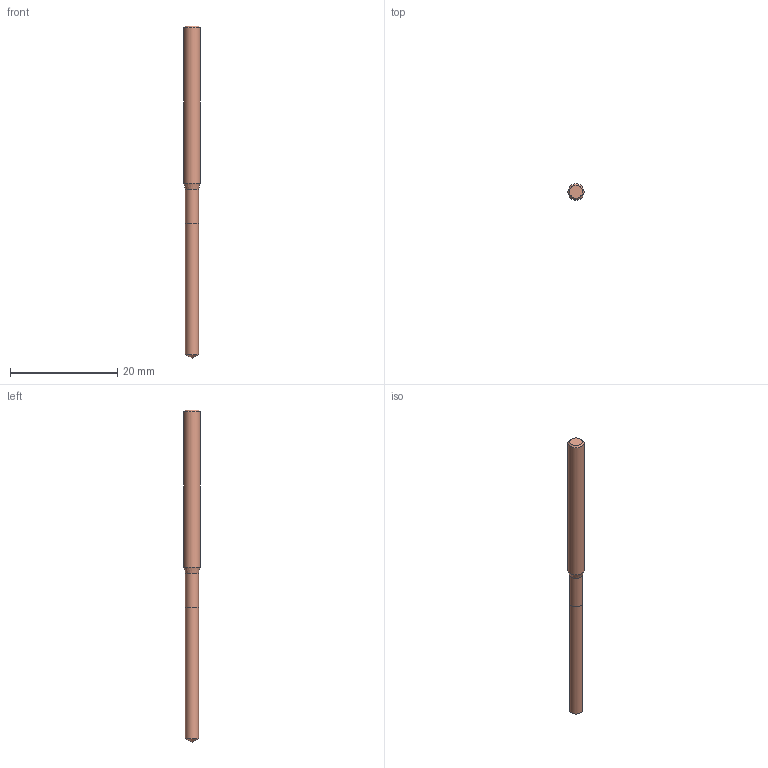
import cadquery as cq
import math

total_length = 62.0
shank_length = 29.4
neck_cone_length = 1.05
cutting_length = 25.1

shank_diameter = 3.0
drill_diameter = 2.43

shank_chamfer = 0.3
point_angle = 130.0

shank_radius = shank_diameter / 2
drill_radius = drill_diameter / 2
point_height = drill_radius / math.tan(math.radians(point_angle / 2))

shank_bottom = total_length - shank_length
cone_bottom = shank_bottom - neck_cone_length


def revolve_about_z(half_profile):
    """Turn a closed half profile in the XZ plane into a round solid."""
    return half_profile.revolve(360, (0, 0, 0), (0, 1, 0))


def make_shank():
    """Chamfered cylindrical shank tapering down to a plain neck."""
    half_profile = (
        cq.Workplane("XZ")
        .moveTo(0, cutting_length)
        .lineTo(drill_radius, cutting_length)
        .lineTo(drill_radius, cone_bottom)
        .lineTo(shank_radius, shank_bottom)
        .lineTo(shank_radius, total_length - shank_chamfer)
        .lineTo(shank_radius - shank_chamfer, total_length)
        .lineTo(0, total_length)
        .close()
    )
    return revolve_about_z(half_profile)


def make_cutting_body():
    """Plain round cutting body ending in a conical drill point."""
    half_profile = (
        cq.Workplane("XZ")
        .lineTo(drill_radius, point_height)
        .lineTo(drill_radius, cutting_length)
        .lineTo(0, cutting_length)
        .close()
    )
    return revolve_about_z(half_profile)


shank = make_shank()
cutting_body = make_cutting_body()

result = cq.Compound.makeCompound([shank.val(), cutting_body.val()])